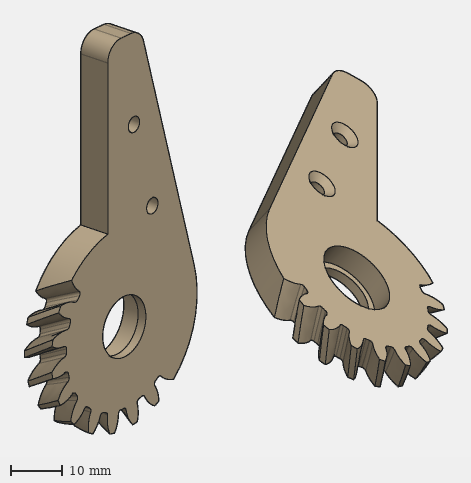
import cadquery as cq
import math

thickness = 7.0
hub_radius = 22.0

arm_top = 62.0
arm_half_width = 5.0
arm_corner_radius = 4.0

bore_diameter = 13.0
seat_diameter = 16.0
seat_depth = 5.0

screw_diameter = 3.4
head_diameter = 6.4
head_angle = 90.0
screw_spacing = 20.0
first_screw_distance = 19.8
screw_edge_distance = 7.5
screw_count = 2

tooth_module = 2.0
teeth_per_turn = 20
pressure_angle = math.radians(20)
helix_angle = math.radians(29)
dedendum_factor = 1.25
gap_count = 10
first_gap_angle = 153.0
root_fillet = 0.7
tip_lean = math.radians(1.6)
cut_overrun = 0.6

pitch_radius = tooth_module * teeth_per_turn / 2
base_radius = pitch_radius * math.cos(pressure_angle)
root_radius = pitch_radius - dedendum_factor * tooth_module
gap_pitch_degrees = 360.0 / teeth_per_turn
twist_degrees = math.degrees(thickness * math.tan(helix_angle) / pitch_radius)

top_corner_distance = math.hypot(arm_half_width, arm_top)
tangent_angle = math.atan2(arm_top, arm_half_width) - math.acos(hub_radius / top_corner_distance)


def polar(radius, angle):
    return (radius * math.cos(angle), radius * math.sin(angle))


def make_blank():
    tangent_point = polar(hub_radius, tangent_angle)
    arm_outline = [
        (0, 0),
        tangent_point,
        (arm_half_width, arm_top),
        (-arm_half_width, arm_top),
        (-arm_half_width, 0),
    ]
    arm = cq.Workplane("YZ").polyline(arm_outline).close().extrude(thickness)
    arm = arm.edges("|X and >Z").fillet(arm_corner_radius)
    hub = cq.Workplane("YZ").circle(hub_radius).extrude(thickness)
    return hub.union(arm)


def cut_bearing_seat(part):
    seat = cq.Workplane("YZ").circle(seat_diameter / 2).extrude(seat_depth)
    bore = cq.Workplane("YZ").circle(bore_diameter / 2).extrude(thickness)
    return part.cut(seat).cut(bore)


def cut_screw_holes(part):
    head_radius = head_diameter / 2
    head_depth = (head_diameter - screw_diameter) / 2 / math.tan(math.radians(head_angle / 2))
    inset = hub_radius - screw_edge_distance
    for index in range(screw_count):
        along = first_screw_distance + index * screw_spacing
        y = inset * math.cos(tangent_angle) - along * math.sin(tangent_angle)
        z = inset * math.sin(tangent_angle) + along * math.cos(tangent_angle)
        hole = cq.Workplane("YZ").center(y, z).circle(screw_diameter / 2).extrude(thickness)
        head = cq.Solid.makeCone(
            head_radius, screw_diameter / 2, head_depth, cq.Vector(0, y, z), cq.Vector(1, 0, 0)
        )
        part = part.cut(hole).cut(cq.Workplane(head))
    return part


def gap_half_angle(radius):
    """Half the angle of a tooth gap at a radius of an involute flank."""
    flank_angle = math.acos(base_radius / radius)
    rise = math.tan(flank_angle) - flank_angle
    pitch_rise = math.tan(pressure_angle) - pressure_angle
    return math.pi / teeth_per_turn / 2 + rise - pitch_rise


def gap_point(radius, half_angle):
    """Point of the gap outline, turned by the lean that grows linearly from the root to the tip."""
    lean = tip_lean * (radius - root_radius) / (hub_radius - root_radius)
    return polar(radius, lean + half_angle)


def make_gap():
    """Helical cutter for one tooth gap, starting on +Y at the X = 0 face."""
    outer_radius = hub_radius + cut_overrun
    middle_radius = (base_radius + outer_radius) / 2
    root_half = gap_half_angle(base_radius)
    middle_half = gap_half_angle(middle_radius)
    outer_half = gap_half_angle(outer_radius)
    root_corners = [polar(root_radius, -root_half), polar(root_radius, root_half)]
    outline = (
        cq.Workplane("YZ")
        .moveTo(*root_corners[0])
        .threePointArc(gap_point(middle_radius, -middle_half), gap_point(outer_radius, -outer_half))
        .lineTo(*gap_point(outer_radius, outer_half))
        .threePointArc(gap_point(middle_radius, middle_half), root_corners[1])
        .close()
        .val()
    )
    corner_vertices = sorted(outline.Vertices(), key=lambda vertex: vertex.Y)[:2]
    outline = outline.fillet2D(root_fillet, corner_vertices)
    return cq.Workplane(
        cq.Solid.extrudeLinearWithRotation(
            outline, [], cq.Vector(0, 0, 0), cq.Vector(thickness, 0, 0), -twist_degrees
        )
    )


def cut_teeth(part):
    gap = make_gap()
    for index in range(gap_count):
        angle = first_gap_angle + index * gap_pitch_degrees
        part = part.cut(gap.rotate((0, 0, 0), (1, 0, 0), angle))
    return part


result = cut_teeth(cut_screw_holes(cut_bearing_seat(make_blank())))